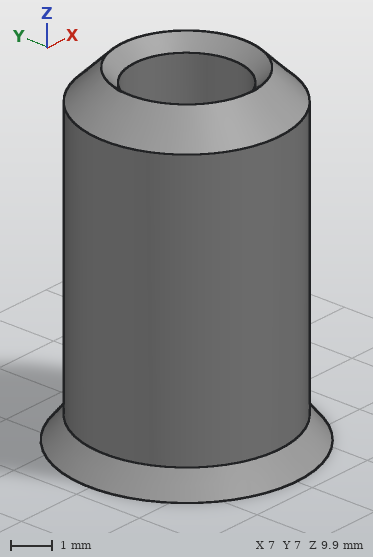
import cadquery as cq

height = 9.9
flange_diameter = 7.0
body_diameter = 5.9
bore_diameter = 3.3

flange_height = 0.68
rim_diameter = 4.1

flange_radius = flange_diameter / 2
body_radius = body_diameter / 2
bore_radius = bore_diameter / 2
rim_radius = rim_diameter / 2

outer_chamfer = body_radius - rim_radius
inner_chamfer = rim_radius - bore_radius

half_section = (
    cq.Workplane("XZ")
    .moveTo(bore_radius, 0)
    .lineTo(flange_radius, 0)
    .lineTo(body_radius, flange_height)
    .lineTo(body_radius, height - outer_chamfer)
    .lineTo(rim_radius, height)
    .lineTo(bore_radius, height - inner_chamfer)
    .close()
)

result = half_section.revolve(360, (0, 0, 0), (0, 1, 0))